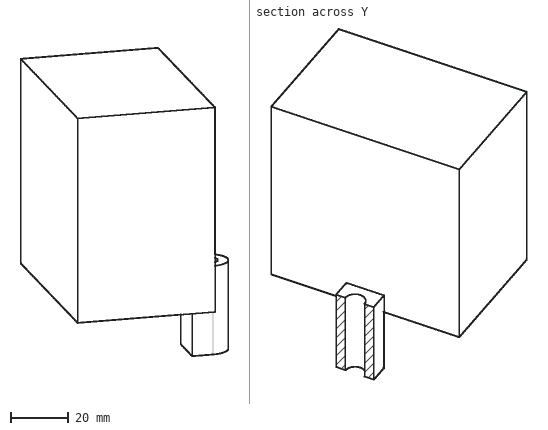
import cadquery as cq

block_width = 75.0
block_depth = 50.0
block_height = 75.0

lug_width = 15.0
lug_radius = lug_width / 2
lug_reach = 15.0
lug_overlap = 7.5
lug_drop = 25.0
hole_diameter = 7.5

back_y = block_depth / 2
lug_height = lug_overlap + lug_drop
lug_center_y = back_y + lug_reach - lug_radius


def make_block():
    """Plain block standing on Z = 0, centred in X and Y."""
    return cq.Workplane("XY").box(block_width, block_depth, block_height, centered=(True, True, False))


def make_lug():
    """Round-ended lug with a vertical through hole on the axis of its round end."""
    bottom = cq.Workplane("XY").workplane(offset=-lug_drop)
    body = (
        bottom.moveTo(-lug_radius, back_y)
        .lineTo(lug_radius, back_y)
        .lineTo(lug_radius, lug_center_y)
        .threePointArc((0, lug_center_y + lug_radius), (-lug_radius, lug_center_y))
        .close()
        .extrude(lug_height)
    )
    hole = bottom.center(0, lug_center_y).circle(hole_diameter / 2).extrude(lug_height)
    return body.cut(hole)


result = make_block().union(make_lug())